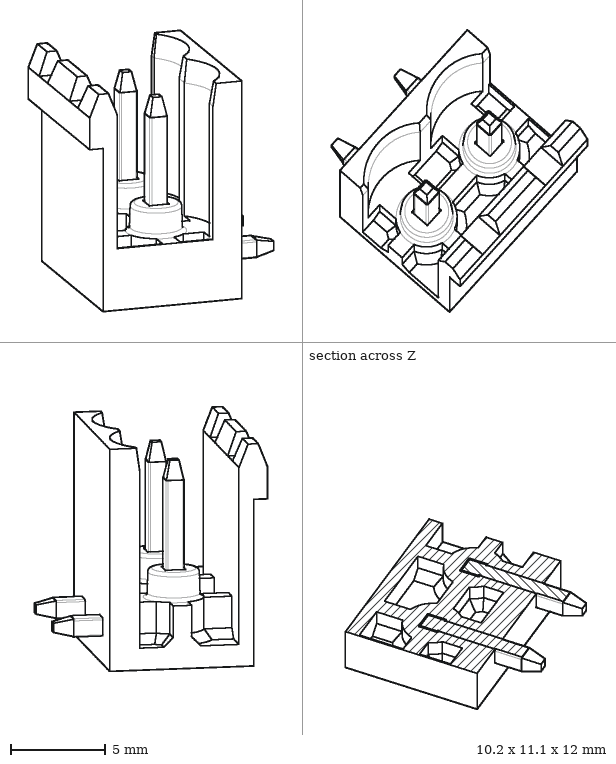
import cadquery as cq
import math


DIAGONAL = math.sqrt(0.5)

HOUSING_LENGTH = 10.16
HOUSING_HEIGHT = 12.0
OVERALL_DEPTH = 11.1
PIN_COUNT = 2
PIN_PITCH = 5.0
FIRST_PIN_X = PIN_PITCH / 2
PIN_Y = 4.6
PIN_X_POSITIONS = [FIRST_PIN_X + PIN_PITCH * i for i in range(PIN_COUNT)]

LATCH_WALL_FRONT = 0.75
LATCH_WALL_INNER = 1.55
BACK_WALL_INNER = 6.89
BACK_WALL_OUTER = 8.51
FLOOR_Z = 1.2
PLATFORM_Z = 3.41
END_RIB_THICKNESS = 0.11

LATCH_HOOK_Z = 9.0
LATCH_SHOULDER_Z = 10.75
LATCH_CREST_FRONT = 0.5
LATCH_CREST_BACK = 1.05
NOTCH_BOTTOM_WIDTH = 1.38
NOTCH_TOP_WIDTH = 1.8

LEAD_IN_HEIGHT = 1.25
LEAD_IN_DEPTH = 0.18
SCALLOP_RADIUS = 2.92
SCALLOP_DEPTH = 0.86
SCALLOP_LEAD_IN = 0.23

FLARE = 0.5
RIDGE_WIDTH = 1.0
FRONT_WEB_WIDTH = 1.0
BACK_WEB_WIDTH = 2.3
BOSS_RADIUS = 1.62
COLLAR_BASE_RADIUS = 1.4
COLLAR_TOP_RADIUS = 1.37
COLLAR_TOP_Z = 4.95
COLLAR_ROUND = 0.2

PIN_WIDTH = 1.0
PIN_EDGE_RADIUS = 0.1
PIN_TOP_Z = 10.81
PIN_TAIL_Z = 2.0
TIP_LENGTH = 1.03
TIP_BASE_WIDTH = PIN_WIDTH - 2 * PIN_EDGE_RADIUS * (1 - DIAGONAL)
TIP_END_WIDTH = 0.5
BORE_WIDTH = 1.1


def box(x_min, x_max, y_min, y_max, z_min, z_max):
    """Block between the given limits."""
    size = (x_max - x_min, y_max - y_min, z_max - z_min)
    return cq.Workplane("XY").box(*size, centered=False).translate((x_min, y_min, z_min))


def housing_shell():
    """U-shaped shell with the latch hook and the lead-in slope, run along X."""
    profile = [
        (LATCH_WALL_FRONT, 0),
        (BACK_WALL_OUTER, 0),
        (BACK_WALL_OUTER, HOUSING_HEIGHT),
        (BACK_WALL_INNER + LEAD_IN_DEPTH, HOUSING_HEIGHT),
        (BACK_WALL_INNER, HOUSING_HEIGHT - LEAD_IN_HEIGHT),
        (BACK_WALL_INNER, FLOOR_Z),
        (LATCH_WALL_INNER, FLOOR_Z),
        (LATCH_WALL_INNER, LATCH_SHOULDER_Z),
        (LATCH_CREST_BACK, HOUSING_HEIGHT),
        (LATCH_CREST_FRONT, HOUSING_HEIGHT),
        (0, LATCH_SHOULDER_Z),
        (0, LATCH_HOOK_Z),
        (LATCH_WALL_FRONT, LATCH_HOOK_Z),
    ]
    return cq.Workplane("YZ").polyline(profile).close().extrude(HOUSING_LENGTH)


def latch_notch(pin_x):
    """Tapered notch that opens the latch crest above a pin."""
    profile = [
        (pin_x - NOTCH_BOTTOM_WIDTH / 2, LATCH_SHOULDER_Z),
        (pin_x + NOTCH_BOTTOM_WIDTH / 2, LATCH_SHOULDER_Z),
        (pin_x + NOTCH_TOP_WIDTH / 2, HOUSING_HEIGHT),
        (pin_x - NOTCH_TOP_WIDTH / 2, HOUSING_HEIGHT),
    ]
    return cq.Workplane("XZ").polyline(profile).close().extrude(-LATCH_WALL_INNER)


def scallop(pin_x):
    """Round recess in the back wall behind a pin, widening into a cone at the top."""
    lead_in_z = HOUSING_HEIGHT - LEAD_IN_HEIGHT
    top_radius = SCALLOP_RADIUS + SCALLOP_LEAD_IN
    profile = [
        (0, PLATFORM_Z),
        (SCALLOP_RADIUS, PLATFORM_Z),
        (SCALLOP_RADIUS, lead_in_z),
        (top_radius, HOUSING_HEIGHT),
        (0, HOUSING_HEIGHT),
    ]
    axis_y = BACK_WALL_INNER + SCALLOP_DEPTH - SCALLOP_RADIUS
    cutter = cq.Workplane("XZ").polyline(profile).close().revolve(360, (0, 0), (0, 1))
    cutter = cutter.translate((pin_x, axis_y, 0))
    back_wall_zone = box(0, HOUSING_LENGTH, BACK_WALL_INNER, BACK_WALL_OUTER, PLATFORM_Z, HOUSING_HEIGHT)
    return cutter.intersect(back_wall_zone)


def flared_profile(plane, center, width):
    """Closed outline of an upright plinth wall with 45 degree flared feet."""
    half = width / 2
    profile = [
        (center - half - FLARE, FLOOR_Z),
        (center + half + FLARE, FLOOR_Z),
        (center + half, FLOOR_Z + FLARE),
        (center + half, PLATFORM_Z),
        (center - half, PLATFORM_Z),
        (center - half, FLOOR_Z + FLARE),
    ]
    return cq.Workplane(plane).polyline(profile).close()


def ridge():
    """Wall along X that links all the bosses."""
    return flared_profile("YZ", PIN_Y, RIDGE_WIDTH).extrude(HOUSING_LENGTH)


def web(pin_x, width, y_min, y_max):
    """Wall along Y that ties a boss to the latch wall or the back wall."""
    wall = flared_profile("XZ", pin_x, width).extrude(-(y_max - y_min))
    return wall.translate((0, y_min, 0))


def boss(pin_x):
    """Round boss with a flared foot and a slightly tapered collar on top."""
    collar_base_z = PLATFORM_Z + BOSS_RADIUS - COLLAR_BASE_RADIUS
    hollow_radius = BOSS_RADIUS - COLLAR_BASE_RADIUS
    hollow_mid = (BOSS_RADIUS - hollow_radius * DIAGONAL, collar_base_z - hollow_radius * DIAGONAL)
    round_r = COLLAR_TOP_RADIUS - COLLAR_ROUND
    round_z = COLLAR_TOP_Z - COLLAR_ROUND
    round_mid = (round_r + COLLAR_ROUND * DIAGONAL, round_z + COLLAR_ROUND * DIAGONAL)
    solid = (
        cq.Workplane("XZ")
        .moveTo(0, FLOOR_Z)
        .lineTo(BOSS_RADIUS + FLARE, FLOOR_Z)
        .lineTo(BOSS_RADIUS, FLOOR_Z + FLARE)
        .lineTo(BOSS_RADIUS, PLATFORM_Z)
        .threePointArc(hollow_mid, (COLLAR_BASE_RADIUS, collar_base_z))
        .lineTo(COLLAR_TOP_RADIUS, round_z)
        .threePointArc(round_mid, (round_r, COLLAR_TOP_Z))
        .lineTo(0, COLLAR_TOP_Z)
        .close()
        .revolve(360, (0, 0), (0, 1))
    )
    return solid.translate((pin_x, PIN_Y, 0))


def end_rib():
    """Thin rib closing the pockets at the +X end, as high as the platform."""
    rib_start = HOUSING_LENGTH - END_RIB_THICKNESS
    return box(rib_start, HOUSING_LENGTH, LATCH_WALL_INNER, BACK_WALL_INNER, FLOOR_Z, PLATFORM_Z)


def pin_leg(length):
    """Square bar along +Z from the origin with rounded long edges and a pointed tip."""
    bar_length = length - TIP_LENGTH
    bar = cq.Workplane("XY").rect(PIN_WIDTH, PIN_WIDTH).extrude(bar_length)
    bar = bar.edges("|Z").fillet(PIN_EDGE_RADIUS)
    tip = (
        cq.Workplane("XY", origin=(0, 0, bar_length))
        .rect(TIP_BASE_WIDTH, TIP_BASE_WIDTH)
        .workplane(offset=TIP_LENGTH)
        .rect(TIP_END_WIDTH, TIP_END_WIDTH)
        .loft()
    )
    return bar.union(tip)


def build_pin(pin_x):
    """Bent pin: a contact leg standing up and a solder tail leaving through the back wall."""
    contact = pin_leg(PIN_TOP_Z - PIN_TAIL_Z)
    tail = pin_leg(OVERALL_DEPTH - PIN_Y).rotate((0, 0, 0), (1, 0, 0), -90)
    corner = cq.Workplane("XY").box(PIN_WIDTH, PIN_WIDTH, PIN_WIDTH)
    return contact.union(tail).union(corner).translate((pin_x, PIN_Y, PIN_TAIL_Z))


def pin_bore(pin_x):
    """Square bore, slightly wider than the pin, from the collar top down to the bend of the pin."""
    half = BORE_WIDTH / 2
    bend_bottom_z = PIN_TAIL_Z - PIN_WIDTH / 2
    return box(pin_x - half, pin_x + half, PIN_Y - half, PIN_Y + half, bend_bottom_z, COLLAR_TOP_Z)


def build_housing(pins):
    """Housing with plinths for the pins and bores and tail passages."""
    body = housing_shell().union(ridge()).union(end_rib())
    for pin_x in PIN_X_POSITIONS:
        body = body.union(web(pin_x, FRONT_WEB_WIDTH, LATCH_WALL_INNER, PIN_Y))
        body = body.union(web(pin_x, BACK_WEB_WIDTH, PIN_Y, BACK_WALL_INNER))
        body = body.union(boss(pin_x))
        body = body.cut(latch_notch(pin_x)).cut(scallop(pin_x)).cut(pin_bore(pin_x))
    for pin in pins:
        body = body.cut(pin)
    return body


pins = [build_pin(pin_x) for pin_x in PIN_X_POSITIONS]
housing = build_housing(pins)

result = cq.Compound.makeCompound([housing.val(), *[pin.val() for pin in pins]])